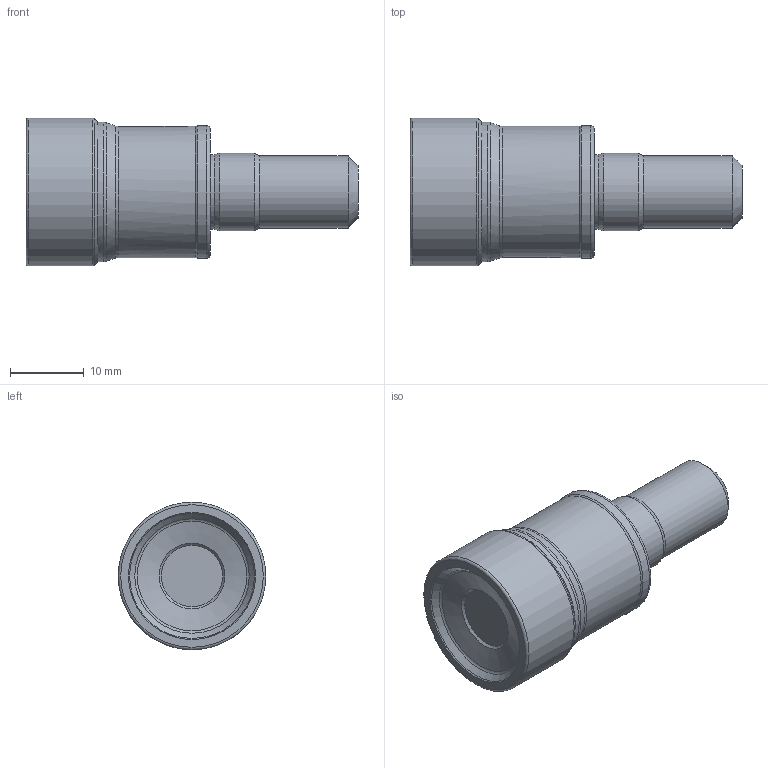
import cadquery as cq


total_length = 44.94
cup_length = 9.72
shoulder_x = 24.97

cup_radius = 20.0 / 2
mouth_edge_round = 0.35
back_round = 0.4
back_round_start_x = 9.0
back_round_end_x = 9.27
back_round_end_radius = 9.9
cup_back_radius = 9.5

mouth_radius = 8.6
lip_round = 0.15
wall_foot_radius = 7.75
wall_depth = 0.93
foot_round = 0.65
cone_top_radius = 7.41
cone_top_depth = 1.13
cone_foot_radius = 4.45
cone_foot_depth = 1.9
floor_radius = 4.15
floor_depth = 2.2

collar_radius = 18.9 / 2
barrel_radius = 17.75 / 2
rim_radius = 18.0 / 2
collar_slope_start_x = 10.7
collar_slope_end_x = 12.3
collar_round = 1.2
rim_step_x = 22.93
rim_start_x = 23.18
rim_round = 0.55

neck_radius = 10.1 / 2
land_radius = 10.5 / 2
stem_radius = 9.75 / 2
neck_end_x = 25.48
land_start_x = 26.16
land_end_x = 30.89
stem_start_x = 31.57
tip_chamfer = 1.34


def revolve_about_x(profile):
    return profile.close().revolve(360, (0, 0, 0), (1, 0, 0))


def make_cup():
    profile = (
        cq.Workplane("XY")
        .moveTo(floor_depth, 0)
        .lineTo(floor_depth, floor_radius)
        .lineTo(cone_foot_depth, cone_foot_radius)
        .lineTo(cone_top_depth, cone_top_radius)
        .radiusArc((wall_depth, wall_foot_radius), -foot_round)
        .lineTo(lip_round, mouth_radius - lip_round)
        .lineTo(0, mouth_radius)
        .lineTo(0, cup_radius - mouth_edge_round)
        .radiusArc((mouth_edge_round, cup_radius), mouth_edge_round)
        .lineTo(back_round_start_x, cup_radius)
        .radiusArc((back_round_end_x, back_round_end_radius), back_round)
        .lineTo(cup_length, cup_back_radius)
        .lineTo(cup_length, 0)
    )
    return revolve_about_x(profile)


def make_holder():
    profile = (
        cq.Workplane("XY")
        .moveTo(cup_length, 0)
        .lineTo(cup_length, collar_radius)
        .lineTo(collar_slope_start_x, collar_radius)
        .lineTo(collar_slope_end_x, barrel_radius)
        .lineTo(rim_step_x, barrel_radius)
        .lineTo(rim_start_x, rim_radius)
        .lineTo(shoulder_x - rim_round, rim_radius)
        .radiusArc((shoulder_x, rim_radius - rim_round), rim_round)
        .lineTo(shoulder_x, neck_radius)
        .lineTo(neck_end_x, neck_radius)
        .lineTo(land_start_x, land_radius)
        .lineTo(land_end_x, land_radius)
        .lineTo(stem_start_x, stem_radius)
        .lineTo(total_length - tip_chamfer, stem_radius)
        .lineTo(total_length, stem_radius - tip_chamfer)
        .lineTo(total_length, 0)
    )
    holder = revolve_about_x(profile)
    selection_margin = 0.1
    slope_edges = cq.selectors.BoxSelector(
        (collar_slope_start_x - selection_margin, -barrel_radius, -barrel_radius),
        (collar_slope_end_x + selection_margin, barrel_radius, barrel_radius),
    )
    return holder.edges(slope_edges).fillet(collar_round)


cup = make_cup()
holder = make_holder()
result = cq.Compound.makeCompound([cup.val(), holder.val()])